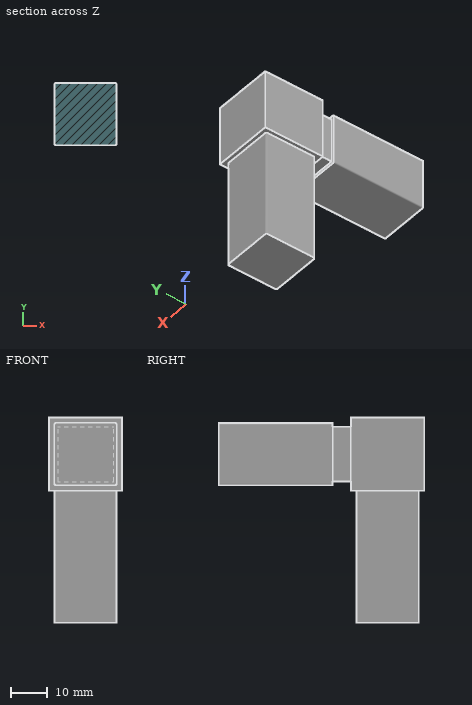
import cadquery as cq

cube_side = 20.0
plug_side = 17.0
plug_corner_radius = 0.5
plug_reach = 36.0
neck_side = 15.0
neck_length = 5.0

half_cube = cube_side / 2


def plug(length):
    """Square bar with rounded long edges, running from the origin toward +Z."""
    bar = cq.Workplane("XY").rect(plug_side, plug_side).extrude(length)
    return bar.edges("|Z").fillet(plug_corner_radius)


def toward_front(bar):
    """Turn a bar that runs toward +Z so that it runs toward -Y."""
    return bar.rotate((0, 0, 0), (1, 0, 0), 90)


cube = cq.Workplane("XY").box(cube_side, cube_side, cube_side)

lower_plug = plug(plug_reach).translate((0, 0, -half_cube - plug_reach))

neck = cq.Workplane("XY").rect(neck_side, neck_side).extrude(neck_length)
front_neck = toward_front(neck).translate((0, -half_cube, 0))
front_plug = toward_front(plug(plug_reach - neck_length)).translate((0, -half_cube - neck_length, 0))

result = cube.union(lower_plug).union(front_neck).union(front_plug)